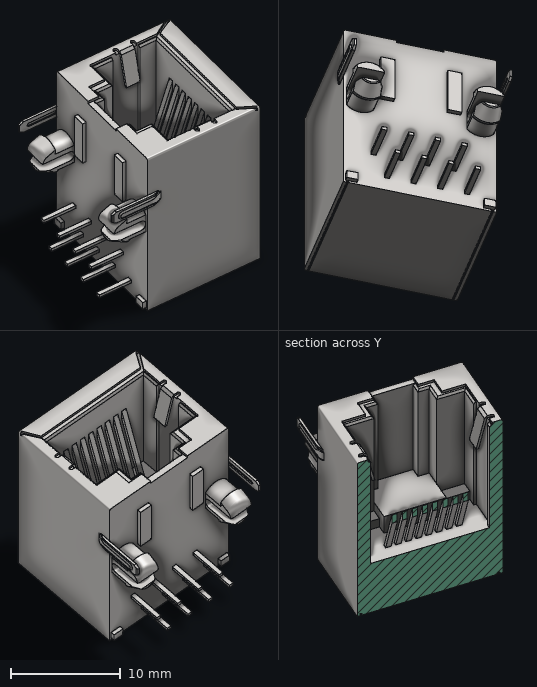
import cadquery as cq
import math

BODY_WIDTH = 14.61
BODY_DEPTH = 12.58
BODY_HEIGHT = 18.67
HALF_WIDTH = BODY_WIDTH / 2
SHIELD = 0.26
BEND_RADIUS = 0.25
LIP_Z = BODY_HEIGHT - SHIELD
EMBED = 0.5

OPENING_HALF = 6.2
OPENING_FRONT_Y = 2.93
OPENING_MID_HALF = 3.84
OPENING_MID_Y = 1.2
OPENING_NOTCH_HALF = 2.25

CAVITY_HALF = 5.93
CAVITY_BACK_Y = 10.1
CAVITY_FRONT_Y = 3.32
LATCH_HALF = 3.13
LATCH_Y = 1.68
KEY_HALF = 2.0
FRONT_WALL = 0.63
LEAD_IN = 0.2
FLOOR_Z = 6.0
LEDGE_BACK_Y = 4.5
LEDGE_HEIGHT = 1.0
LATCH_BLOCK_BACK_Y = 5.45
LATCH_BLOCK_HEIGHT = 2.0

FLAP_EDGE_HALF = 6.1
FLAP_EDGE_Y = 10.66
FLAP_BACK_HALF = 7.02
FLAP_BACK_Y = 12.31
GAP_INNER_Y = 10.35
GAP_OUTER_Y = 12.15

SPRING_Y = 6.975
SPRING_WIDTH = 1.51
RELIEF_WIDTH = 0.4
RELIEF_END_X = 6.77
RECESS_Y_MIN = 5.3
RECESS_Y_MAX = 8.29
SPRING_KNEE_X = 5.9
SPRING_TIP_X = 5.07
SPRING_TIP_Z = 15.0

CONTACT_COUNT = 8
CONTACT_PITCH = 1.016
CONTACT_WIDTH = 0.54
CONTACT_THICKNESS = 0.36
CONTACT_TOP_Z = 15.16
CONTACT_FOOT_Y = 7.0

PIN_COUNT = 8
PIN_PITCH = 1.27
PIN_WIDTH = 0.48
PIN_THICKNESS = 0.34
PIN_LENGTH = 3.55
PIN_ROW_Z = (4.19, 1.66)

STANDOFF_HEIGHT = 0.4
RIB_X = 3.19
RIB_WIDTH = 1.31
RIB_Z_MIN = 11.05
RIB_Z_MAX = 15.86
FOOT_X = 6.55
FOOT_WIDTH = 1.08
FOOT_Z_MIN = 0.22
FOOT_Z_MAX = 1.05
SEAM_X = 6.9
SEAM_WIDTH = 0.14

PEG_X = 5.715
PEG_Z = 10.57
PEG_FLAT_HALF = 1.28
PEG_SHANK_RADIUS = 1.65
PEG_TIP_RADIUS = 1.1
PEG_LENGTH = PIN_LENGTH
UPPER_BARB_RADIUS = 2.01
UPPER_SHOULDER_RADIUS = 1.7
LOWER_BARB_RADIUS = 1.75
BARB_START = 2.1
UPPER_SHOULDER = 3.08
LOWER_FLARE_START = 1.75
LOWER_FLARE_END = 1.9
LOWER_TIP_BEVEL = 0.1
PEG_SLOT_Z = 10.5
PEG_SLOT_WIDTH = 1.12

BLADE_Z = 13.59
BLADE_WIDTH = 1.32
BLADE_THICKNESS = 0.27
BLADE_ROOT_Y = 1.2
BLADE_FLARE_Y = 0.16
BLADE_TAPER_Y = -3.65
BLADE_TIP_Y = -4.09
BLADE_TIP_WIDTH = 0.8
BEAD_WIDTH = 0.9
OVERALL_WIDTH = 15.39
BEAD_TOP_X = OVERALL_WIDTH / 2
BEAD_ROOT_Y = 1.46
BEAD_END_Y = -3.43
BEAD_BEVEL = 0.2
BEAD_HOLLOW_WIDTH = 0.42
BEAD_HOLLOW_DEPTH = 0.13
BLADE_TIP_BEVEL_LENGTH = 0.17
BLADE_TIP_BEVEL_DEPTH = 0.08

FINGER_WIDTH = 3.9
OVERALL_DEPTH = 17.83
FINGER_TIP_Y = OVERALL_DEPTH + BLADE_TIP_Y
FINGER_TIP_Z = 15.74
FINGER_ROOT_Z = 18.24
FINGER_THICKNESS = 0.26


def block(x_min, x_max, y_min, y_max, z_min, z_max):
    """Axis-aligned box given by its limits."""
    size = (x_max - x_min, y_max - y_min, z_max - z_min)
    return cq.Workplane("XY").box(*size, centered=False).translate((x_min, y_min, z_min))


def both_sides(shape):
    """The shape together with its mirror image across X = 0."""
    return shape.union(shape.mirror("YZ"))


def mirrored_outline(half, z):
    """Closed wire at height z from a right-hand half outline."""
    left = [(-x, y) for x, y in reversed(half)]
    return cq.Workplane("XY").workplane(offset=z).polyline(half + left).close()


def cavity_half(margin):
    """Right half of the plug outline, widened by margin except at the front wall."""
    return [
        (CAVITY_HALF + margin, CAVITY_BACK_Y + margin),
        (CAVITY_HALF + margin, CAVITY_FRONT_Y - margin),
        (LATCH_HALF + margin, CAVITY_FRONT_Y - margin),
        (LATCH_HALF + margin, LATCH_Y - margin),
        (KEY_HALF + margin, LATCH_Y - margin),
        (KEY_HALF + margin, FRONT_WALL),
    ]


def make_body():
    body = block(-HALF_WIDTH, HALF_WIDTH, 0, BODY_DEPTH, 0, BODY_HEIGHT)
    body = body.edges("(|Z and >Y) or (>Z and |Y) or (>Z and >Y)").fillet(BEND_RADIUS)
    return body


def shield_opening():
    """Plug opening together with the mitre gaps beside the back flap."""
    half = [
        (FLAP_EDGE_HALF, FLAP_EDGE_Y),
        (FLAP_BACK_HALF, FLAP_BACK_Y),
        (HALF_WIDTH, GAP_OUTER_Y),
        (OPENING_HALF, GAP_INNER_Y),
        (OPENING_HALF, OPENING_FRONT_Y),
        (OPENING_MID_HALF, OPENING_FRONT_Y),
        (OPENING_MID_HALF, OPENING_MID_Y),
        (OPENING_NOTCH_HALF, OPENING_MID_Y),
        (OPENING_NOTCH_HALF, 0),
    ]
    return mirrored_outline(half, LIP_Z).extrude(SHIELD)


def plug_cavity():
    cavity = mirrored_outline(cavity_half(0), FLOOR_Z).extrude(LIP_Z - FLOOR_Z)
    lower = mirrored_outline(cavity_half(0), LIP_Z - LEAD_IN).wire().val()
    upper = mirrored_outline(cavity_half(LEAD_IN), LIP_Z).wire().val()
    mouth = cq.Workplane(cq.Solid.makeLoft([lower, upper], True))
    recess = block(0, OPENING_HALF, RECESS_Y_MIN, RECESS_Y_MAX, FLOOR_Z, LIP_Z)
    return cavity.union(mouth).union(both_sides(recess))


def cavity_floor_steps():
    latch_block = block(
        -LATCH_HALF, LATCH_HALF, EMBED, LATCH_BLOCK_BACK_Y, FLOOR_Z - EMBED, FLOOR_Z + LATCH_BLOCK_HEIGHT
    )
    ledges = block(
        -CAVITY_HALF, CAVITY_HALF, CAVITY_FRONT_Y, LEDGE_BACK_Y, FLOOR_Z - EMBED, FLOOR_Z + LEDGE_HEIGHT
    )
    return latch_block.union(ledges)


def relief_slots():
    """Round-ended slots in the shield on both sides of a spring."""
    inner_x = OPENING_HALF - RELIEF_WIDTH
    length = RELIEF_END_X - inner_x
    offset = (SPRING_WIDTH + RELIEF_WIDTH) / 2
    return (
        cq.Workplane("XY", origin=(inner_x + length / 2, SPRING_Y, LIP_Z))
        .pushPoints([(0, -offset), (0, offset)])
        .slot2D(length, RELIEF_WIDTH)
        .extrude(SHIELD)
    )


def side_spring():
    """Strip folded over the opening edge and sloping into the cavity."""
    outline = [
        (OPENING_HALF + EMBED, BODY_HEIGHT),
        (OPENING_HALF, BODY_HEIGHT),
        (SPRING_KNEE_X, LIP_Z),
        (SPRING_TIP_X, SPRING_TIP_Z),
        (SPRING_TIP_X + SHIELD, SPRING_TIP_Z),
        (SPRING_KNEE_X + SHIELD, LIP_Z),
        (OPENING_HALF + EMBED, LIP_Z),
    ]
    return (
        cq.Workplane("XZ", origin=(0, SPRING_Y, 0))
        .polyline(outline)
        .close()
        .extrude(SPRING_WIDTH / 2, both=True)
    )


def plug_contacts():
    """Row of slanted contact strips rising from the floor to the back wall of the cavity."""
    contacts = cq.Workplane("XY")
    for i in range(CONTACT_COUNT):
        x = (i - (CONTACT_COUNT - 1) / 2) * CONTACT_PITCH
        strip = (
            cq.Workplane("YZ", origin=(x, 0, 0))
            .moveTo(CAVITY_BACK_Y, CONTACT_TOP_Z)
            .lineTo(CONTACT_FOOT_Y, FLOOR_Z)
            .lineTo(CONTACT_FOOT_Y, FLOOR_Z - EMBED)
            .lineTo(CONTACT_FOOT_Y + CONTACT_THICKNESS, FLOOR_Z - EMBED)
            .lineTo(CONTACT_FOOT_Y + CONTACT_THICKNESS, FLOOR_Z)
            .lineTo(CAVITY_BACK_Y + CONTACT_THICKNESS, CONTACT_TOP_Z)
            .close()
            .extrude(CONTACT_WIDTH / 2, both=True)
        )
        contacts = contacts.add(strip)
    return contacts.combine()


def solder_pins():
    pins = cq.Workplane("XY")
    for i in range(PIN_COUNT):
        x = (i - (PIN_COUNT - 1) / 2) * PIN_PITCH
        z = PIN_ROW_Z[i % len(PIN_ROW_Z)]
        pin = block(
            x - PIN_WIDTH / 2, x + PIN_WIDTH / 2,
            -PIN_LENGTH, EMBED,
            z - PIN_THICKNESS / 2, z + PIN_THICKNESS / 2,
        )
        pins = pins.add(pin)
    return pins.combine()


def standoff(x, width, z_min, z_max):
    return block(x - width / 2, x + width / 2, -STANDOFF_HEIGHT, EMBED, z_min, z_max)


def revolve_peg(profile):
    """Turn a closed (radius, -Y distance) profile about the peg axis."""
    turned = profile.close().revolve(360, (0, 0, 0), (0, 1, 0))
    return turned.translate((PEG_X, 0, PEG_Z))


def snap_peg():
    """Two prongs with flat sides: a large upper barb and a smaller lower barb."""
    upper = revolve_peg(
        cq.Workplane("XY")
        .moveTo(0, EMBED)
        .lineTo(PEG_SHANK_RADIUS, EMBED)
        .lineTo(PEG_SHANK_RADIUS, -BARB_START)
        .lineTo(UPPER_BARB_RADIUS, -BARB_START)
        .lineTo(UPPER_SHOULDER_RADIUS, -UPPER_SHOULDER)
        .tangentArcPoint((PEG_TIP_RADIUS, -PEG_LENGTH), relative=False)
        .lineTo(0, -PEG_LENGTH)
    )
    lower = revolve_peg(
        cq.Workplane("XY")
        .moveTo(0, EMBED)
        .lineTo(PEG_SHANK_RADIUS, EMBED)
        .lineTo(PEG_SHANK_RADIUS, -LOWER_FLARE_START)
        .lineTo(LOWER_BARB_RADIUS, -LOWER_FLARE_END)
        .lineTo(LOWER_BARB_RADIUS, -BARB_START)
        .lineTo(PEG_TIP_RADIUS, LOWER_TIP_BEVEL - PEG_LENGTH)
        .lineTo(PEG_TIP_RADIUS - LOWER_TIP_BEVEL, -PEG_LENGTH)
        .lineTo(0, -PEG_LENGTH)
    )
    x_min = PEG_X - PEG_FLAT_HALF
    x_max = PEG_X + PEG_FLAT_HALF
    reach = 2 * UPPER_BARB_RADIUS
    upper_side = block(x_min, x_max, -PEG_LENGTH, EMBED, PEG_SLOT_Z, PEG_SLOT_Z + reach)
    lower_side = block(x_min, x_max, -PEG_LENGTH, EMBED, PEG_SLOT_Z - reach, PEG_SLOT_Z)
    slot_length = 2 * PEG_LENGTH
    slot = (
        cq.Workplane("YZ", origin=(PEG_X, -slot_length / 2, PEG_SLOT_Z))
        .slot2D(slot_length, PEG_SLOT_WIDTH)
        .extrude(PEG_FLAT_HALF, both=True)
    )
    return upper.intersect(upper_side).union(lower.intersect(lower_side)).cut(slot)


def flared_strip(root_y, outer_x, end_y, width):
    """Strip along the side wall that curves out of the wall at root_y and ends bevelled at end_y."""
    return (
        cq.Workplane("XY", origin=(0, 0, BLADE_Z))
        .moveTo(HALF_WIDTH, end_y)
        .lineTo(outer_x - BLADE_TIP_BEVEL_DEPTH, end_y)
        .lineTo(outer_x, end_y + BLADE_TIP_BEVEL_LENGTH)
        .lineTo(outer_x, BLADE_FLARE_Y)
        .tangentArcPoint((HALF_WIDTH, root_y), relative=False)
        .close()
        .extrude(width / 2, both=True)
    )


def blade_slot(x, root_y, end_y, width, height, taper=0):
    """Round-ended bar on the side plane at x, from root_y to end_y."""
    origin = (x, (root_y + end_y) / 2, BLADE_Z)
    return cq.Workplane("YZ", origin=origin).slot2D(root_y - end_y, width).extrude(height, taper=taper)


def board_lock():
    """Side blade with a pointed end and a hollow raised bead along its middle."""
    outer_x = HALF_WIDTH + BLADE_THICKNESS
    half_side = [
        (BLADE_ROOT_Y, BLADE_WIDTH / 2),
        (BLADE_TAPER_Y, BLADE_WIDTH / 2),
        (BLADE_TIP_Y, BLADE_TIP_WIDTH / 2),
    ]
    side = half_side + [(y, -z) for y, z in reversed(half_side)]
    pointed = (
        cq.Workplane("YZ", origin=(HALF_WIDTH, 0, BLADE_Z)).polyline(side).close().extrude(BLADE_THICKNESS)
    )
    blade = flared_strip(BLADE_ROOT_Y, outer_x, BLADE_TIP_Y, BLADE_WIDTH).intersect(pointed)

    bead_height = BEAD_TOP_X - outer_x
    bead_taper = math.degrees(math.atan2(BEAD_BEVEL, bead_height))
    overrun_y = BEAD_ROOT_Y + BEAD_WIDTH
    crown = blade_slot(outer_x, overrun_y, BEAD_END_Y, BEAD_WIDTH, bead_height, bead_taper)
    base = blade_slot(HALF_WIDTH, overrun_y, BEAD_END_Y, BEAD_WIDTH, BLADE_THICKNESS)
    bead = flared_strip(BEAD_ROOT_Y, BEAD_TOP_X, BLADE_TIP_Y, BEAD_WIDTH).intersect(base.union(crown))

    web = block(
        HALF_WIDTH - EMBED, HALF_WIDTH + BLADE_THICKNESS / 2,
        0, BLADE_FLARE_Y + EMBED,
        BLADE_Z - BLADE_WIDTH / 2, BLADE_Z + BLADE_WIDTH / 2,
    )
    hollow = blade_slot(HALF_WIDTH, 0, BEAD_END_Y + BEAD_BEVEL, BEAD_HOLLOW_WIDTH, BEAD_HOLLOW_DEPTH)
    return blade.union(bead).union(web).cut(hollow)


def grounding_finger():
    """Thin strip slanting down and away from the back wall."""
    back_y = BODY_DEPTH
    run = FINGER_TIP_Y - back_y
    drop = FINGER_ROOT_Z - FINGER_TIP_Z
    length = math.hypot(run, drop)
    shift_y = -FINGER_THICKNESS * drop / length
    shift_z = -FINGER_THICKNESS * run / length
    outline = [
        (back_y, FINGER_ROOT_Z),
        (FINGER_TIP_Y, FINGER_TIP_Z),
        (FINGER_TIP_Y + shift_y, FINGER_TIP_Z + shift_z),
        (back_y + shift_y, FINGER_ROOT_Z + shift_z),
    ]
    return cq.Workplane("YZ").polyline(outline).close().extrude(FINGER_WIDTH / 2, both=True)


def closed_end_seam():
    return block(
        SEAM_X - SEAM_WIDTH / 2, SEAM_X + SEAM_WIDTH / 2, 0, BODY_DEPTH, 0, FOOT_Z_MIN
    )


result = make_body()

result = result.cut(shield_opening())
result = result.cut(plug_cavity())
for cutter in (relief_slots(), closed_end_seam()):
    result = result.cut(both_sides(cutter))

result = result.union(cavity_floor_steps())
result = result.union(plug_contacts())
result = result.union(both_sides(side_spring()))

result = result.union(solder_pins())
ribs = standoff(RIB_X, RIB_WIDTH, RIB_Z_MIN, RIB_Z_MAX)
feet = standoff(FOOT_X, FOOT_WIDTH, FOOT_Z_MIN, FOOT_Z_MAX)
for attachment in (ribs, feet, snap_peg(), board_lock()):
    result = result.union(both_sides(attachment))
result = result.union(grounding_finger())